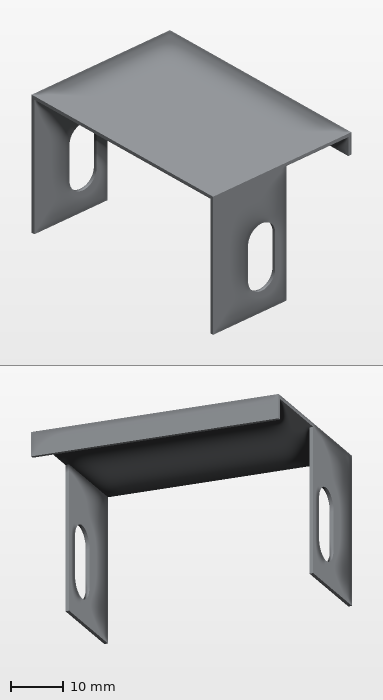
import cadquery as cq

length = 51.6
depth = 35.8
height = 30.8
sheet = 0.75

leg_depth = 19.0
lip_height = 5.0

slot_width = 7.0
slot_height = 15.0
slot_from_front = 12.6
slot_center_height = 12.3


def block(size_x, size_y, size_z, x, y, z):
    """Box with its lowest corner at (x, y, z)."""
    return cq.Workplane("XY").box(size_x, size_y, size_z, centered=False).translate((x, y, z))


cover = block(length, depth, sheet, 0, 0, height - sheet)

cover = cover.union(block(length, sheet, lip_height, 0, depth - sheet, height - lip_height))

for leg_x in (0, length - sheet):
    cover = cover.union(block(sheet, leg_depth, height, leg_x, 0, 0))

slot = (
    cq.Workplane("YZ")
    .center(slot_from_front, slot_center_height)
    .slot2D(slot_height, slot_width, 90)
    .extrude(length)
)

result = cover.cut(slot)